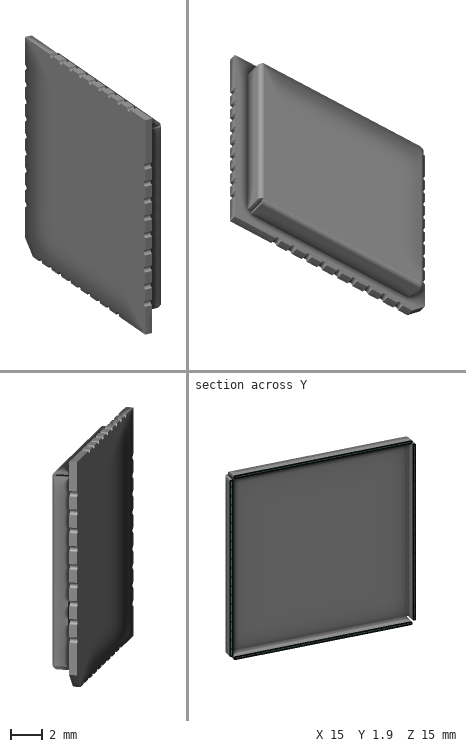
import cadquery as cq

board_side = 15.0
board_thickness = 0.51
corner_cut = 1.0

notch_radius = 0.2
notch_pitch = 1.2
notches_per_edge = 9
lower_row_center = -0.75
upper_row_center = 0.6
left_row_center = 0.58
right_row_center = -0.55

overall_depth = 1.9
can_side = 13.0
sheet_thickness = 0.2
bend_radius = 0.3
corner_gap = 0.08
wall_opening_width = 1.6
wall_opening_height = 0.32
wall_opening_center = -2.78

wall_inset = sheet_thickness + corner_gap
can_height = overall_depth - board_thickness
wall_length = can_side - 2 * wall_inset
half_board = board_side / 2


def row_positions(center):
    """Evenly spaced positions of one row of notches."""
    first = center - notch_pitch * (notches_per_edge - 1) / 2
    return [first + notch_pitch * i for i in range(notches_per_edge)]


def make_notch_cutters():
    """Round cutters centred on the board edges, one for each notch."""
    points = []
    points += [(x, -half_board) for x in row_positions(lower_row_center)]
    points += [(x, half_board) for x in row_positions(upper_row_center)]
    points += [(-half_board, z) for z in row_positions(left_row_center)]
    points += [(half_board, z) for z in row_positions(right_row_center)]
    return cq.Workplane("XZ").pushPoints(points).circle(notch_radius).extrude(-board_thickness)


def make_board():
    """Notched plate with its -X, -Z corner cut off to mark the first pad."""
    plate = cq.Workplane("XZ").rect(board_side, board_side).extrude(-board_thickness)
    plate = plate.edges("|Y and <X and <Z").chamfer(corner_cut)
    return plate.cut(make_notch_cutters())


def make_folded_channel():
    """A lid with a folded wall on its -X and +X sides, running along Z."""
    outer = (
        cq.Workplane("XY", origin=(0, board_thickness, 0))
        .rect(can_side, 2 * can_height)
        .extrude(wall_length / 2, both=True)
        .edges("|Z and >Y")
        .fillet(bend_radius)
    )
    inner = (
        cq.Workplane("XY", origin=(0, board_thickness, 0))
        .rect(can_side - 2 * sheet_thickness, 2 * (can_height - sheet_thickness))
        .extrude(wall_length / 2, both=True)
        .edges("|Z and >Y")
        .fillet(bend_radius - sheet_thickness)
    )
    behind_board = cq.Workplane("XY").box(
        board_side, can_height, board_side, centered=(True, False, True)
    ).translate((0, board_thickness, 0))
    return outer.cut(inner).intersect(behind_board)


def make_wall_opening():
    """Rectangular cutter for the opening at the foot of the -X wall."""
    return cq.Workplane("XY").box(
        2 * sheet_thickness, wall_opening_height, wall_opening_width, centered=(True, False, True)
    ).translate((-can_side / 2, board_thickness, wall_opening_center))


def make_shield_can():
    """Two crossed channels that share the flat lid and leave a slit at each corner."""
    side_walls = make_folded_channel()
    end_walls = side_walls.rotate((0, 0, 0), (0, 1, 0), 90)
    return side_walls.union(end_walls).cut(make_wall_opening())


board = make_board()
shield_can = make_shield_can()

result = cq.Compound.makeCompound([board.solids().val(), shield_can.solids().val()])